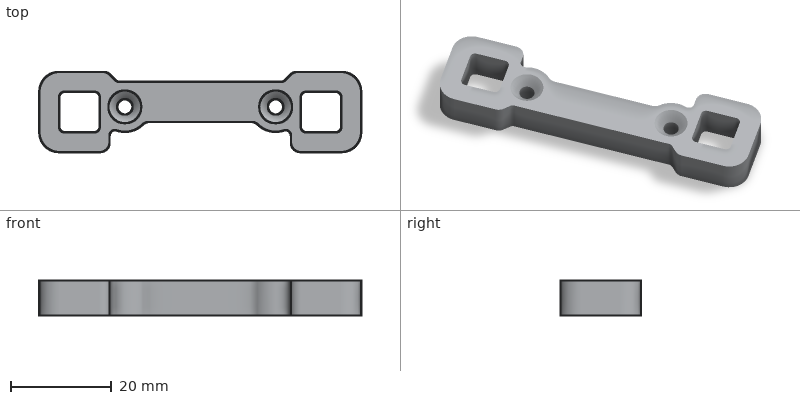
import cadquery as cq
import math

length = 64.0
width = 16.0
thickness = 7.0

head_length = 14.0
inner_corner_radius = 2.0
window_size = 8.0
window_corner_radius = 1.0
outer_corner_radius = (width - window_size) / 2
window_center_x = (length - width) / 2

web_top = 6.0
web_bottom = -2.0
shoulder_foot_x = 16.5
shoulder_top_radius = 2.0
shoulder_foot_radius = 1.0

screw_x = 15.0
screw_y = 1.0
boss_radius = 5.0
boss_web_radius = 2.0
boss_head_radius = 1.0
bore_diameter = 3.0
countersink_diameter = 6.5
countersink_angle = 90.0

half_length = length / 2
half_width = width / 2
head_inner_x = half_length - head_length
shoulder_top_x = shoulder_foot_x + half_width - web_top

boss_web_x = screw_x - math.sqrt(boss_radius**2 - (screw_y - web_bottom) ** 2)
boss_head_y = screw_y - math.sqrt(boss_radius**2 - (head_inner_x - screw_x) ** 2)


def round_edge(body, x, y, radius):
    """Fillet the vertical edge standing at (x, y)."""
    return body.edges(cq.selectors.NearestToPointSelector((x, y, 0))).fillet(radius)


def make_right_half():
    """Extrude the half outline from the middle plane, then round its corners."""
    half = (
        cq.Workplane("XY", origin=(0, 0, -thickness / 2))
        .moveTo(0, web_top)
        .lineTo(shoulder_foot_x, web_top)
        .lineTo(shoulder_top_x, half_width)
        .lineTo(half_length, half_width)
        .lineTo(half_length, -half_width)
        .lineTo(head_inner_x, -half_width)
        .lineTo(head_inner_x, boss_head_y)
        .threePointArc((screw_x, screw_y - boss_radius), (boss_web_x, web_bottom))
        .lineTo(0, web_bottom)
        .close()
        .extrude(thickness)
    )
    corners = [
        (shoulder_foot_x, web_top, shoulder_foot_radius),
        (shoulder_top_x, half_width, shoulder_top_radius),
        (half_length, half_width, outer_corner_radius),
        (half_length, -half_width, outer_corner_radius),
        (head_inner_x, -half_width, inner_corner_radius),
        (head_inner_x, boss_head_y, boss_head_radius),
        (boss_web_x, web_bottom, boss_web_radius),
    ]
    for x, y, radius in corners:
        half = round_edge(half, x, y, radius)
    return half


def cut_window(body):
    """Cut the rounded square window through the head."""
    window = (
        cq.Workplane("XY")
        .center(window_center_x, 0)
        .rect(window_size, window_size)
        .extrude(thickness, both=True)
        .edges("|Z")
        .fillet(window_corner_radius)
    )
    return body.cut(window)


def cut_screw_hole(body):
    """Cut the through bore, countersunk from the top face."""
    return (
        body.faces(">Z")
        .workplane(origin=(0, 0, 0))
        .center(screw_x, screw_y)
        .cskHole(bore_diameter, countersink_diameter, countersink_angle)
    )


right_half = cut_screw_hole(cut_window(make_right_half()))
result = right_half.union(right_half.mirror("YZ")).clean()